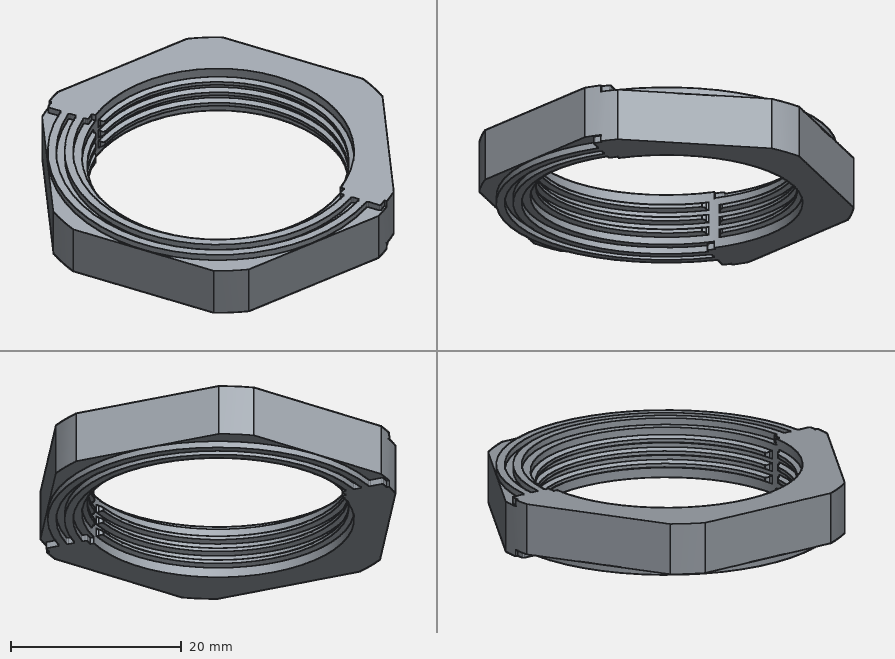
import cadquery as cq
import math

HEIGHT = 7.0
CORNER_DIAMETER = 44.0
ACROSS_FLATS = 40.0
BORE_RADIUS = 31.9 / 2

STEP_DEPTH = 0.8
RIDGE_START_RADIUS = 17.0
RIDGE_WIDTH = 0.99
RIDGE_COUNT = 2
LAND_INNER_RADIUS = 16.4
LAND_OUTER_RADIUS = 21.7
LAND_OVERHANG = 1.05
LAND_CORNER_RADIUS = 0.155

RIB_HEIGHT = 0.6
RIB_CREST_WIDTH = 0.45
RIB_ROOT_WIDTH = 1.0
RIB_PITCH = 1.55
RIB_COUNT = 3
FIRST_RIB_DEPTH = 1.7
RIB_END_GAP = 0.65
RIB_END_BEVEL = 0.2
RIB_EMBED = 0.2

TOP = HEIGHT / 2
STEP_FLOOR = TOP - STEP_DEPTH
STEP_BLOCK_WIDTH = 1.2 * CORNER_DIAMETER
SELECT_MARGIN = 0.05


def ring(inner_radius, outer_radius, floor, height):
    """Flat ring standing on the given floor."""
    base = cq.Workplane("XY").workplane(offset=floor)
    return base.circle(outer_radius).circle(inner_radius).extrude(height)


def half_turn(shape):
    """Turn a shape half a turn about the X axis, moving it to the opposite end and side."""
    return shape.rotate((0, 0, 0), (1, 0, 0), 180)


def hexagon_body():
    """Hexagon with flats at +Y and -Y, its corners rounded by a cylinder, and the plain bore."""
    circumscribed = ACROSS_FLATS / math.cos(math.pi / 6)
    hexagon = cq.Workplane("XY").polygon(6, circumscribed).extrude(TOP, both=True)
    return hexagon.intersect(ring(BORE_RADIUS, CORNER_DIAMETER / 2, -TOP, HEIGHT))


def step_block(reach):
    """Block as tall as the step, reaching from Y = 0 toward -Y and wider than the part."""
    block = cq.Workplane("XY").box(STEP_BLOCK_WIDTH, reach, STEP_DEPTH, centered=(True, False, False))
    return block.translate((0, -reach, STEP_FLOOR))


def step_cutter():
    """Material removed on the -Y half of the top face, leaving the ridges and the land overhang."""
    half_face = step_block(CORNER_DIAMETER)
    overhang_strip = step_block(LAND_OVERHANG)
    raised = ring(LAND_INNER_RADIUS, LAND_OUTER_RADIUS, STEP_FLOOR, STEP_DEPTH).intersect(overhang_strip)

    for index in range(RIDGE_COUNT):
        inner_radius = RIDGE_START_RADIUS + 2 * index * RIDGE_WIDTH
        ridge = ring(inner_radius, inner_radius + RIDGE_WIDTH, STEP_FLOOR, STEP_DEPTH)
        raised = raised.union(ridge.intersect(half_face))

    overhang_corners = cq.selectors.BoxSelector(
        (-CORNER_DIAMETER, -LAND_OVERHANG - SELECT_MARGIN, -HEIGHT),
        (CORNER_DIAMETER, -LAND_OVERHANG + SELECT_MARGIN, HEIGHT),
    )
    raised = raised.edges("|Z").edges(overhang_corners).fillet(LAND_CORNER_RADIUS)
    return half_face.cut(raised)


def rib_clip():
    """Prism that limits the ribs to the +Y half, with ends beveled at the root and rounded at the crest."""
    crest_x = BORE_RADIUS - RIB_HEIGHT
    bevel_x = BORE_RADIUS - RIB_END_BEVEL
    outer_x = BORE_RADIUS + RIB_EMBED
    bevel_y = RIB_END_GAP + RIB_END_BEVEL
    round_radius = RIB_HEIGHT - RIB_END_BEVEL
    crest_y = bevel_y + round_radius
    round_reach = round_radius * math.sin(math.pi / 4)
    middle_x = crest_x + round_radius - round_reach
    middle_y = crest_y - round_reach

    clip = (
        cq.Workplane("XY")
        .moveTo(-outer_x, RIB_END_GAP)
        .lineTo(-BORE_RADIUS, RIB_END_GAP)
        .lineTo(-bevel_x, bevel_y)
        .threePointArc((-middle_x, middle_y), (-crest_x, crest_y))
        .lineTo(crest_x, crest_y)
        .threePointArc((middle_x, middle_y), (bevel_x, bevel_y))
        .lineTo(BORE_RADIUS, RIB_END_GAP)
        .lineTo(outer_x, RIB_END_GAP)
        .lineTo(outer_x, outer_x)
        .lineTo(-outer_x, outer_x)
        .close()
    )
    return clip.extrude(TOP, both=True)


def thread_rib(center_z):
    """One trapezoidal ring rib, rooted a little inside the bore wall."""
    root_radius = BORE_RADIUS
    crest_radius = BORE_RADIUS - RIB_HEIGHT
    half_root = RIB_ROOT_WIDTH / 2
    half_crest = RIB_CREST_WIDTH / 2
    profile = [
        (root_radius + RIB_EMBED, center_z - half_root),
        (root_radius, center_z - half_root),
        (crest_radius, center_z - half_crest),
        (crest_radius, center_z + half_crest),
        (root_radius, center_z + half_root),
        (root_radius + RIB_EMBED, center_z + half_root),
    ]
    return cq.Workplane("XZ").polyline(profile).close().revolve(360, (0, 0, 0), (0, 1, 0))


result = hexagon_body()

cutter = step_cutter()
result = result.cut(cutter).cut(half_turn(cutter))

clip = rib_clip()
for rib_index in range(RIB_COUNT):
    rib = thread_rib(TOP - FIRST_RIB_DEPTH - rib_index * RIB_PITCH).intersect(clip)
    result = result.union(rib).union(half_turn(rib))